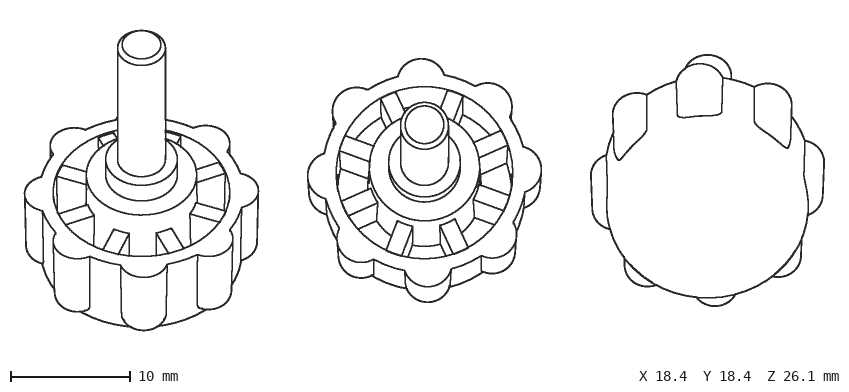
import cadquery as cq
import math

TOTAL_HEIGHT = 26.1
DRAFT = math.tan(math.radians(1.0))
SECTORS = 8
SECTOR_ANGLE = 360.0 / SECTORS

RIM_Z = 8.1
RIM_RADIUS = 8.55
BORE_RADIUS = 7.39
BASE_FILLET = 0.91
POCKET_FLOOR_Z = 1.3
HUB_TOP_Z = 10.2
HUB_TOP_RADIUS = 4.62

SPAN = 18.4
LOBE_RADIUS = 2.04
LOBE_CENTER_RADIUS = (SPAN / 2 - LOBE_RADIUS) / math.cos(math.radians(SECTOR_ANGLE / 2))
LOBE_BOTTOM_Z = BASE_FILLET
LOBE_FILLET = 0.95

RIB_WIDTH = 1.38
RIB_DROP = 0.2

ROD_RADIUS = 2.0
ROD_CHAMFER = 0.4
COLLAR_RADIUS = 3.0
COLLAR_TOP_Z = 12.1


def cone(bottom_z, bottom_radius, top_z, top_radius):
    """Solid of revolution about Z with a straight, sloping side."""
    return (
        cq.Workplane("XZ")
        .moveTo(0, bottom_z)
        .lineTo(bottom_radius, bottom_z)
        .lineTo(top_radius, top_z)
        .lineTo(0, top_z)
        .close()
        .revolve(360, (0, 0, 0), (0, 1, 0))
    )


def make_shell():
    """Drafted outer body with a rounded lower edge."""
    bottom_radius = RIM_RADIUS - RIM_Z * DRAFT
    return cone(0, bottom_radius, RIM_Z, RIM_RADIUS).faces("<Z").edges().fillet(BASE_FILLET)


def make_lobe(angle):
    """Drafted grip lobe with a rounded lower end, standing at the given angle."""
    bottom_radius = LOBE_RADIUS - (RIM_Z - LOBE_BOTTOM_Z) * DRAFT
    lobe = cone(LOBE_BOTTOM_Z, bottom_radius, RIM_Z, LOBE_RADIUS)
    lobe = lobe.faces("<Z").edges().fillet(LOBE_FILLET)
    return lobe.translate((LOBE_CENTER_RADIUS, 0, 0)).rotate((0, 0, 0), (0, 0, 1), angle)


def make_pocket():
    """Bore that leaves the hub and the ribs standing on its floor."""
    floor_radius = BORE_RADIUS - (RIM_Z - POCKET_FLOOR_Z) * DRAFT
    return cone(POCKET_FLOOR_Z, floor_radius, RIM_Z, BORE_RADIUS)


def make_hub():
    """Central boss, wider towards the pocket floor."""
    floor_radius = HUB_TOP_RADIUS + (HUB_TOP_Z - POCKET_FLOOR_Z) * DRAFT
    return cone(POCKET_FLOOR_Z, floor_radius, HUB_TOP_Z, HUB_TOP_RADIUS)


def make_rib(angle):
    """Radial web from the axis into the middle of the rim wall."""
    length = (BORE_RADIUS + RIM_RADIUS) / 2
    height = RIM_Z - RIB_DROP - POCKET_FLOOR_Z
    return (
        cq.Workplane("XY", origin=(0, 0, POCKET_FLOOR_Z))
        .box(length, RIB_WIDTH, height, centered=(False, True, False))
        .rotate((0, 0, 0), (0, 0, 1), angle)
    )


def make_knob():
    knob = make_shell()
    for i in range(SECTORS):
        knob = knob.union(make_lobe((i + 0.5) * SECTOR_ANGLE))
    knob = knob.cut(make_pocket()).union(make_hub())
    for i in range(SECTORS):
        knob = knob.union(make_rib(i * SECTOR_ANGLE))
    return knob


def make_stud():
    """Collar resting on the hub, with a chamfered rod above it."""
    collar_height = COLLAR_TOP_Z - HUB_TOP_Z
    rod_length = TOTAL_HEIGHT - COLLAR_TOP_Z
    collar = cq.Workplane("XY", origin=(0, 0, HUB_TOP_Z)).circle(COLLAR_RADIUS).extrude(collar_height)
    rod = cq.Workplane("XY", origin=(0, 0, COLLAR_TOP_Z)).circle(ROD_RADIUS).extrude(rod_length)
    rod = rod.faces(">Z").edges().chamfer(ROD_CHAMFER)
    return collar.union(rod)


knob = make_knob()
stud = make_stud()
result = cq.Compound.makeCompound([knob.solids().val(), stud.solids().val()])